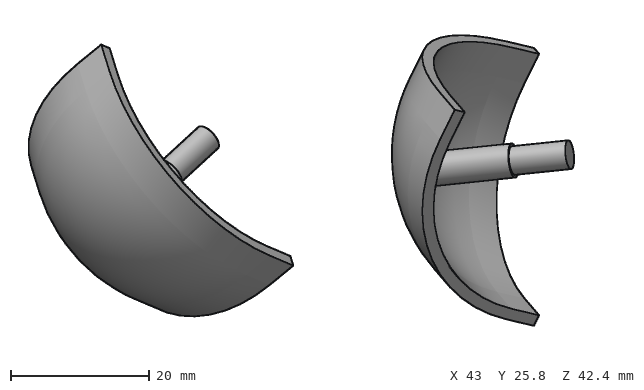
import cadquery as cq
import math

dome_radius = 25.0
wall = 1.8
rim_width = 5.0
collar_radius = 2.5
collar_end_y = -7.78
pin_radius = 2.1
pin_end_y = 0.77

corner_plane = cq.Plane(
    origin=(0, 0, 0),
    xDir=(-1 / math.sqrt(6), -1 / math.sqrt(3), 1 / math.sqrt(2)),
    normal=(math.sqrt(2 / 3), -1 / math.sqrt(3), 0),
)


def rounded_corner(radius):
    """Sphere octant extended by the rim width past each of its three flat sides."""
    body = cq.Workplane("XY").sphere(radius, angle1=0, angle2=90, angle3=90)
    quarter_rim = (
        cq.Workplane("XY")
        .lineTo(radius, 0)
        .radiusArc((0, radius), -radius)
        .close()
        .extrude(-rim_width)
    )
    corner_bar = cq.Workplane("XY").box(
        rim_width, rim_width, radius + rim_width, centered=False
    ).translate((-rim_width, -rim_width, -rim_width))
    for turn in (0, 120, 240):
        body = body.union(quarter_rim.rotate((0, 0, 0), (1, 1, 1), turn))
        body = body.union(corner_bar.rotate((0, 0, 0), (1, 1, 1), turn))
    return body


def stem_cylinder(radius, end_y):
    """Round bar on the Y axis, starting inside the dome wall."""
    start_y = -dome_radius + wall / 2
    return (
        cq.Workplane("XZ", origin=(0, start_y, 0))
        .circle(radius)
        .extrude(start_y - end_y)
    )


shell = rounded_corner(dome_radius).cut(rounded_corner(dome_radius - wall))
shell = cq.Workplane(shell.val().moved(corner_plane.location))

collar = stem_cylinder(collar_radius, collar_end_y)
pin = stem_cylinder(pin_radius, pin_end_y)

result = shell.union(collar).union(pin)